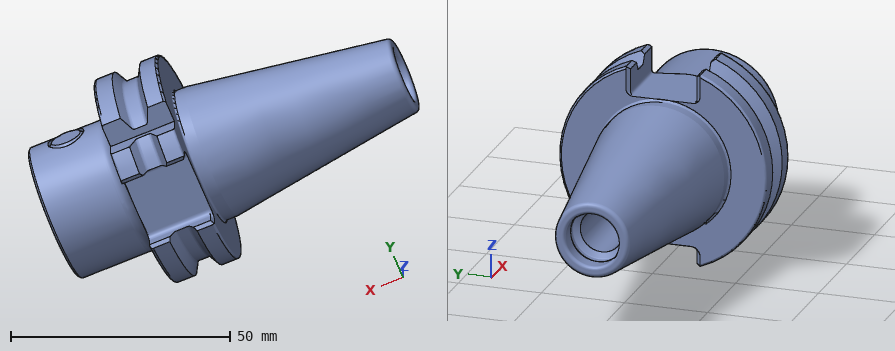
import cadquery as cq
import math

TOTAL_LENGTH = 86.75
GAUGE_X = 47.8
FLANGE_FRONT_X = 50.9
FLANGE_WIDTH = 15.8
FLANGE_BACK_X = FLANGE_FRONT_X + FLANGE_WIDTH

GAUGE_RADIUS = 15.9
TAPER_SLOPE = 7 / 48
SMALL_END_RADIUS = GAUGE_RADIUS - TAPER_SLOPE * GAUGE_X
SMALL_END_ROUND = 1.0
NECK_FILLET = 0.5

FLANGE_RADIUS = 25.0
FLANGE_FRONT_ROUND = 0.5
FLANGE_BACK_ROUND = 0.6
GROOVE_RADIUS = 22.1
GROOVE_CENTRE_X = 58.6
GROOVE_MOUTH = 6.8
GROOVE_WALL_ANGLE = 60
GROOVE_FILLET = 0.7
GROOVE_FLOOR = GROOVE_MOUTH - 2 * (FLANGE_RADIUS - GROOVE_RADIUS) / math.tan(math.radians(GROOVE_WALL_ANGLE))

NOSE_RADIUS = 16.05
NOSE_FILLET = 2.95
NOSE_CHAMFER = 0.5

RECESS_RADIUS = 6.4
RECESS_ENTRY_ROUND = 0.8
RELIEF_START_X = 4.0
RELIEF_RAMP_END_X = 4.7
RELIEF_RADIUS = 6.7
RELIEF_ROUND = 0.35
THREAD_RADIUS = 5.1
THREAD_START_X = 7.0
THREAD_END_X = 26.0
BORE_RADIUS = 4.25
BORE_CONE_ANGLE = 60

SLOT_HALF_WIDTH = 8.0
TOP_SLOT_FLOOR = 16.3
TOP_SLOT_FILLET = 0.8
BOTTOM_SLOT_FLOOR = 18.65
BOTTOM_SLOT_FILLET = 1.3
SLOT_CHAMFER = 0.95
FRONT_CHAMFER_DEPTH = 0.6
RIM_CHAMFER_DEPTH = 0.6
CORNER_NOTCH = 14.75

SCREW_X = 77.3
SCREW_RADIUS = 4.4
SCREW_CHAMFER = 0.9
SCREW_HEAD_Y = 16.0


def cone_length(large_radius, small_radius):
    """Axial length of a conical bore step between two radii."""
    return (large_radius - small_radius) / math.tan(math.radians(BORE_CONE_ANGLE))


def revolve_about_x(profile):
    return profile.close().revolve(360, (0, 0, 0), (1, 0, 0))


def round_rim(body, x, radius, size):
    """Round the circular edge of the given radius at the given X."""
    rim = cq.selectors.BoxSelector(
        (x - 0.01, -radius - 0.01, -radius - 0.01),
        (x + 0.01, radius + 0.01, radius + 0.01),
        boundingbox=True,
    )
    outer = cq.selectors.RadiusNthSelector(-1)
    return body.edges(rim).edges(outer).fillet(size)


def make_turned_body():
    half_mouth = GROOVE_MOUTH / 2
    half_floor = GROOVE_FLOOR / 2
    body = revolve_about_x(
        cq.Workplane("XZ")
        .moveTo(0, 0)
        .lineTo(0, SMALL_END_RADIUS)
        .lineTo(GAUGE_X, GAUGE_RADIUS)
        .lineTo(FLANGE_FRONT_X, GAUGE_RADIUS)
        .lineTo(FLANGE_FRONT_X, FLANGE_RADIUS)
        .lineTo(GROOVE_CENTRE_X - half_mouth, FLANGE_RADIUS)
        .lineTo(GROOVE_CENTRE_X - half_floor, GROOVE_RADIUS)
        .lineTo(GROOVE_CENTRE_X + half_floor, GROOVE_RADIUS)
        .lineTo(GROOVE_CENTRE_X + half_mouth, FLANGE_RADIUS)
        .lineTo(FLANGE_BACK_X, FLANGE_RADIUS)
        .lineTo(FLANGE_BACK_X, NOSE_RADIUS)
        .lineTo(TOTAL_LENGTH - NOSE_CHAMFER, NOSE_RADIUS)
        .lineTo(TOTAL_LENGTH, NOSE_RADIUS - NOSE_CHAMFER)
        .lineTo(TOTAL_LENGTH, 0)
    )
    rounded_rims = [
        (0, SMALL_END_RADIUS, SMALL_END_ROUND),
        (FLANGE_FRONT_X, GAUGE_RADIUS, NECK_FILLET),
        (FLANGE_FRONT_X, FLANGE_RADIUS, FLANGE_FRONT_ROUND),
        (GROOVE_CENTRE_X - half_floor, GROOVE_RADIUS, GROOVE_FILLET),
        (GROOVE_CENTRE_X + half_floor, GROOVE_RADIUS, GROOVE_FILLET),
        (FLANGE_BACK_X, FLANGE_RADIUS, FLANGE_BACK_ROUND),
        (FLANGE_BACK_X, NOSE_RADIUS, NOSE_FILLET),
    ]
    for x, radius, size in rounded_rims:
        body = round_rim(body, x, radius, size)
    return body


def make_bore():
    """Recess with its relief, thread core and clearance bore as one cutter."""
    relief_end_x = THREAD_START_X - cone_length(RELIEF_RADIUS, THREAD_RADIUS)
    bore_start_x = THREAD_END_X + cone_length(THREAD_RADIUS, BORE_RADIUS)
    bore = revolve_about_x(
        cq.Workplane("XZ")
        .moveTo(0, 0)
        .lineTo(0, RECESS_RADIUS + RECESS_ENTRY_ROUND)
        .radiusArc((RECESS_ENTRY_ROUND, RECESS_RADIUS), -RECESS_ENTRY_ROUND)
        .lineTo(RELIEF_START_X, RECESS_RADIUS)
        .lineTo(RELIEF_RAMP_END_X, RELIEF_RADIUS)
        .lineTo(relief_end_x, RELIEF_RADIUS)
        .lineTo(THREAD_START_X, THREAD_RADIUS)
        .lineTo(THREAD_END_X, THREAD_RADIUS)
        .lineTo(bore_start_x, BORE_RADIUS)
        .lineTo(TOTAL_LENGTH, BORE_RADIUS)
        .lineTo(TOTAL_LENGTH, 0)
    )
    return round_rim(bore, relief_end_x, RELIEF_RADIUS, RELIEF_ROUND)


def draw_slot_section(plane, floor, half_width, fillet):
    """Slot outline in the YZ plane: a flat floor, rounded corners and upright walls."""
    corner_mid = fillet * (1 - math.sqrt(0.5))
    floor_half_width = half_width - fillet
    return (
        plane
        .moveTo(-half_width, FLANGE_RADIUS)
        .lineTo(-half_width, floor + fillet)
        .threePointArc((-half_width + corner_mid, floor + corner_mid), (-floor_half_width, floor))
        .lineTo(floor_half_width, floor)
        .threePointArc((half_width - corner_mid, floor + corner_mid), (half_width, floor + fillet))
        .lineTo(half_width, FLANGE_RADIUS)
        .close()
    )


def make_slot(floor, fillet):
    """Cutter for a driving slot on the +Z side: the channel and its edge chamfers."""
    wide_half_width = SLOT_HALF_WIDTH + SLOT_CHAMFER
    front = cq.Workplane("YZ", origin=(FLANGE_FRONT_X, 0, 0))

    channel = draw_slot_section(front, floor, SLOT_HALF_WIDTH, fillet).extrude(FLANGE_WIDTH + NOSE_FILLET)

    wide_section = draw_slot_section(front, floor, wide_half_width, fillet + SLOT_CHAMFER)
    chamfer_end = wide_section.workplane(offset=FRONT_CHAMFER_DEPTH)
    front_chamfer = draw_slot_section(chamfer_end, floor, SLOT_HALF_WIDTH, fillet).loft(ruled=True)

    rim_z = math.sqrt(FLANGE_RADIUS**2 - wide_half_width**2)
    rim_chamfer = (
        front
        .moveTo(-SLOT_HALF_WIDTH, rim_z - RIM_CHAMFER_DEPTH)
        .lineTo(-wide_half_width, rim_z)
        .lineTo(-wide_half_width, FLANGE_RADIUS)
        .lineTo(wide_half_width, FLANGE_RADIUS)
        .lineTo(wide_half_width, rim_z)
        .lineTo(SLOT_HALF_WIDTH, rim_z - RIM_CHAMFER_DEPTH)
        .close()
        .extrude(FLANGE_WIDTH)
    )
    return channel.union(front_chamfer).union(rim_chamfer)


def make_corner_notch():
    """Square notch through the flange on its +Y, -Z side."""
    size = FLANGE_RADIUS - CORNER_NOTCH
    return cq.Workplane("XY").box(FLANGE_WIDTH, size, size, centered=False).translate(
        (FLANGE_FRONT_X, CORNER_NOTCH, -FLANGE_RADIUS)
    )


def make_screw_hole():
    """Radial hole from the +Y side of the nose into the bore."""
    return cq.Workplane("XZ", origin=(SCREW_X, 0, 0)).circle(SCREW_RADIUS).extrude(-NOSE_RADIUS)


def make_holder():
    top_slot = make_slot(TOP_SLOT_FLOOR, TOP_SLOT_FILLET)
    bottom_slot = make_slot(BOTTOM_SLOT_FLOOR, BOTTOM_SLOT_FILLET).mirror("XY")
    return (
        make_turned_body()
        .cut(make_bore())
        .cut(top_slot)
        .cut(bottom_slot)
        .cut(make_corner_notch())
        .cut(make_screw_hole())
    )


def make_clamp_screw():
    """Screw with a chamfered head, reaching inwards to the edge of the bore."""
    return (
        cq.Workplane("XZ", origin=(SCREW_X, BORE_RADIUS, 0))
        .circle(SCREW_RADIUS)
        .extrude(-(SCREW_HEAD_Y - BORE_RADIUS))
        .faces(">Y")
        .chamfer(SCREW_CHAMFER)
    )


holder = make_holder()
clamp_screw = make_clamp_screw()
result = cq.Compound.makeCompound([holder.val(), clamp_screw.val()])